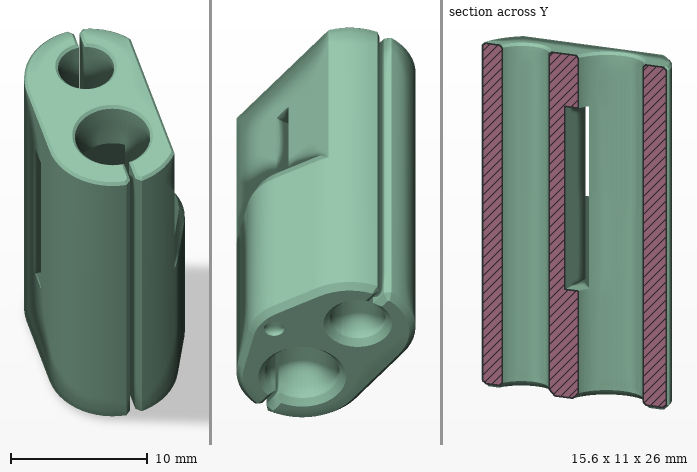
import cadquery as cq
import math

height = 26.0
end_radius = 4.8
end_offset = 3.0
flat_back_y = 3.9
half_length = end_offset + end_radius

rib_height = 14.0
rib_nose_radius = 4.0
rib_nose_y = 2.19
rib_chamfer_inset = 0.43
rib_chamfer_height = 0.9

small_bore_x = -4.0
small_bore_diameter = 4.1
large_bore_x = 3.0
large_bore_diameter = 5.5

slit_y = 0.27
slit_width = 0.4
lip_chamfer = 0.4

window_width = 1.5
window_bottom = 8.2
window_top = 22.0

cord_hole_diameter = 1.5
cord_hole_y = 4.66

bottom_chamfer = 0.45
top_chamfer = 0.2


def make_outline():
    """Rounded body and rib nose, joined by lines tangent to both arcs."""
    centre_distance = math.hypot(end_offset, rib_nose_y)
    slope = math.acos((end_radius - rib_nose_radius) / centre_distance) - math.atan2(end_offset, rib_nose_y)
    normal_x = math.sin(slope)
    normal_y = math.cos(slope)
    end_tangent_x = end_offset + end_radius * normal_x
    end_tangent_y = end_radius * normal_y
    nose_tangent_x = rib_nose_radius * normal_x
    nose_tangent_y = rib_nose_y + rib_nose_radius * normal_y
    return (
        cq.Workplane("XY")
        .moveTo(-end_offset, -end_radius)
        .lineTo(end_offset, -end_radius)
        .threePointArc((end_offset + end_radius, 0), (end_tangent_x, end_tangent_y))
        .lineTo(nose_tangent_x, nose_tangent_y)
        .threePointArc((0, rib_nose_y + rib_nose_radius), (-nose_tangent_x, nose_tangent_y))
        .lineTo(-end_tangent_x, end_tangent_y)
        .threePointArc((-end_offset - end_radius, 0), (-end_offset, -end_radius))
        .close()
    )


def box_between(x_range, y_range, z_range):
    """Axis-aligned box given its two limits along each axis."""
    size = [high - low for low, high in (x_range, y_range, z_range)]
    return (
        cq.Workplane("XY")
        .box(*size, centered=False)
        .translate((x_range[0], y_range[0], z_range[0]))
    )


def make_body():
    """Full-height body with a flat back, plus the lower rib behind it."""
    body_limits = box_between((-half_length, half_length), (-end_radius, flat_back_y), (0, height))
    body = make_outline().extrude(height).intersect(body_limits)
    rib_taper = math.degrees(math.atan2(rib_chamfer_inset, rib_chamfer_height))
    rib_shoulder = rib_height - rib_chamfer_height
    rib = make_outline().extrude(rib_shoulder)
    rib_top = make_outline().extrude(rib_chamfer_height, taper=rib_taper).translate((0, 0, rib_shoulder))
    return body.union(rib).union(rib_top)


def cut_bores(body):
    for x, diameter in ((small_bore_x, small_bore_diameter), (large_bore_x, large_bore_diameter)):
        bore = cq.Workplane("XY").center(x, 0).circle(diameter / 2).extrude(height)
        body = body.cut(bore)
    return body


def cut_slits(body):
    """Slits from both ends into the bores, with chamfered outer corners."""
    slit_low = slit_y - slit_width / 2
    slit_high = slit_y + slit_width / 2
    for x_range in ((-half_length, small_bore_x), (large_bore_x, half_length)):
        body = body.cut(box_between(x_range, (slit_low, slit_high), (0, height)))
    outer_corners = body.edges("|Z").filter(
        lambda edge: abs(edge.Center().x) > half_length - lip_chamfer
        and slit_low - lip_chamfer < edge.Center().y < slit_high + lip_chamfer
    )
    return outer_corners.chamfer(lip_chamfer)


def cut_window(body):
    """Window through the front wall, ending level with the flat back."""
    half_width = window_width / 2
    window = box_between((-half_width, half_width), (-end_radius, flat_back_y), (window_bottom, window_top))
    return body.cut(window)


def cut_cord_hole(body):
    hole = cq.Workplane("XY").center(0, cord_hole_y).circle(cord_hole_diameter / 2).extrude(rib_height)
    return body.cut(hole)


result = make_body()
result = cut_bores(result)
result = cut_slits(result)
result = result.faces(">Z").edges().chamfer(top_chamfer)
result = result.faces("<Z").edges().chamfer(bottom_chamfer)
result = cut_window(result)
result = cut_cord_hole(result)